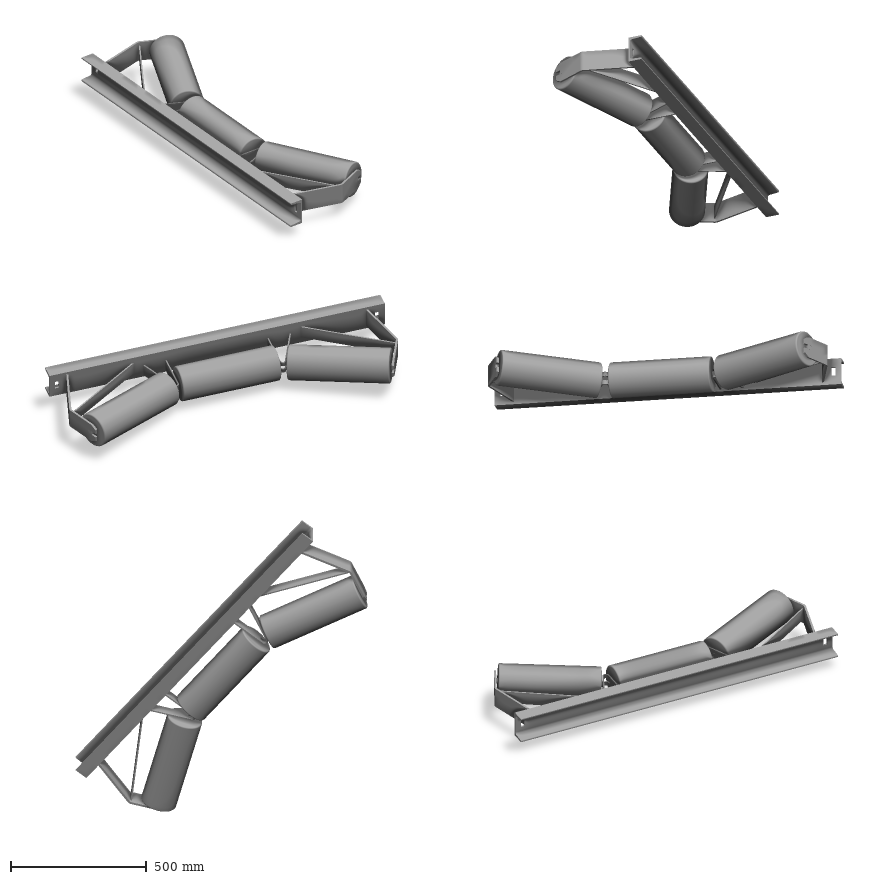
import cadquery as cq
import math

BEAM_LENGTH = 1300.0
BEAM_DEPTH = 52.0
BEAM_HEIGHT = 100.0
WEB_THICKNESS = 6.0
FLANGE_TIP_THICKNESS = 6.0
FLANGE_TAPER = 0.08
FLANGE_ROOT_RADIUS = 8.0
FLANGE_TIP_RADIUS = 4.0
BOLT_SLOT_WIDTH = 15.0
BOLT_SLOT_HEIGHT = 31.0
BOLT_SLOT_INSET = 30.0

ROLLER_DIAMETER = 133.0
ROLLER_LENGTH = 380.0
ROLLER_EDGE_RADIUS = 5.0
CENTER_ROLLER_Y = 115.0
CENTER_ROLLER_Z = -20.0
WING_OUTER_END = cq.Vector(-578.0, 286.0, 0)
WING_ANGLE = math.radians(25)
WING_TILT = math.radians(3)

AXLE_DIAMETER = 20.0
TONGUE_WIDTH = 15.0

OUTER_HEIGHT = 78.0
OUTER_THICKNESS = 8.0
OUTER_BEND = cq.Vector(-633.0, 192.0, 0)
OUTER_FOOT = cq.Vector(-581.0, 0, 0)
OUTER_BEND_RADIUS = 15.0
OUTER_LEG_LENGTH = 139.0
TIP_CHAMFER_Y = 298.0
TIP_CHAMFER_SLOPE = 0.6

INNER_HEIGHT = 47.0
INNER_THICKNESS = 5.0
INNER_LEG_X = -198.0
INNER_FOOT = cq.Vector(-283.0, 0, 0)
INNER_BEND_RADIUS = 10.0

BRACE_HEIGHT = 50.0
BRACE_THICKNESS = 5.0
BRACE_FOOT_X = -328.0
BRACE_TOP_OFFSET = 6.0

WING_AXIS = cq.Vector(
    math.cos(WING_TILT) * math.cos(WING_ANGLE),
    -math.cos(WING_TILT) * math.sin(WING_ANGLE),
    -math.sin(WING_TILT),
)
LEG_UP = cq.Vector(math.sin(WING_ANGLE), math.cos(WING_ANGLE), 0)

LEG_NORMAL = cq.Vector(math.cos(WING_ANGLE), -math.sin(WING_ANGLE), 0)
WING_INNER_END = WING_OUTER_END + WING_AXIS * ROLLER_LENGTH
OUTER_REACH = (WING_OUTER_END - OUTER_BEND).dot(LEG_NORMAL) + OUTER_THICKNESS / 2
INNER_REACH = (INNER_FOOT - WING_INNER_END).dot(LEG_NORMAL) + INNER_THICKNESS / 2
CENTER_REACH = -INNER_LEG_X - ROLLER_LENGTH / 2 + INNER_THICKNESS / 2

WING_PLANE = cq.Plane(WING_OUTER_END, LEG_UP, WING_AXIS)
CENTER_PLANE = cq.Plane(
    (-ROLLER_LENGTH / 2, CENTER_ROLLER_Y, CENTER_ROLLER_Z), (0, 1, 0), (1, 0, 0)
)


def inner_corners(y):
    """Selector for the two inner flange edges at depth y, leaving out the outer flange edges."""
    margin = FLANGE_TIP_THICKNESS / 2
    half_gap = BEAM_HEIGHT / 2 - margin
    return cq.selectors.BoxSelector((-margin, y - margin, -half_gap), (margin, y + margin, half_gap))


def make_beam():
    half_height = BEAM_HEIGHT / 2
    tip_z = half_height - FLANGE_TIP_THICKNESS
    root_z = tip_z - FLANGE_TAPER * (BEAM_DEPTH - WEB_THICKNESS)
    section = [
        (0, -half_height),
        (0, half_height),
        (-BEAM_DEPTH, half_height),
        (-BEAM_DEPTH, tip_z),
        (-WEB_THICKNESS, root_z),
        (-WEB_THICKNESS, -root_z),
        (-BEAM_DEPTH, -tip_z),
        (-BEAM_DEPTH, -half_height),
    ]
    beam = cq.Workplane("YZ").polyline(section).close().extrude(BEAM_LENGTH / 2, both=True)
    beam = beam.edges("|X").edges(inner_corners(-WEB_THICKNESS)).fillet(FLANGE_ROOT_RADIUS)
    beam = beam.edges("|X").edges(inner_corners(-BEAM_DEPTH)).fillet(FLANGE_TIP_RADIUS)
    slot_x = BEAM_LENGTH / 2 - BOLT_SLOT_INSET
    slots = (
        cq.Workplane("XZ")
        .pushPoints([(-slot_x, 0), (slot_x, 0)])
        .rect(BOLT_SLOT_WIDTH, BOLT_SLOT_HEIGHT)
        .extrude(WEB_THICKNESS)
    )
    return beam.cut(slots)


def tongue(plane, start, length, top):
    """Axle tongue along the plane's normal; its local x runs up the support leg."""
    half_width = TONGUE_WIDTH / 2
    bottom = -AXLE_DIAMETER / 2
    return (
        cq.Workplane(plane)
        .workplane(offset=start)
        .moveTo(top, -half_width)
        .lineTo(bottom + half_width, -half_width)
        .threePointArc((bottom, 0), (bottom + half_width, half_width))
        .lineTo(top, half_width)
        .close()
        .extrude(length)
    )


def make_roller(plane, start_reach, end_reach):
    """Roller from the plane along its normal, with an axle tongue at each end."""
    shell = (
        cq.Workplane(plane)
        .circle(ROLLER_DIAMETER / 2)
        .extrude(ROLLER_LENGTH)
        .edges()
        .fillet(ROLLER_EDGE_RADIUS)
    )
    top = AXLE_DIAMETER / 2
    start_tongue = tongue(plane, -start_reach, start_reach, top)
    end_tongue = tongue(plane, ROLLER_LENGTH, end_reach, top)
    return shell.union(start_tongue).union(end_tongue)


def axle_slot(plane, start, length):
    """Cutter for an open slot that seats an axle tongue and runs out past the end of its leg."""
    return tongue(plane, start, length, ROLLER_DIAMETER)


def bent_strip(start, corner, end, radius, height, thickness):
    """Upright strip along start-corner-end, centred on the height of its start point."""
    to_start = (start - corner).normalized()
    to_end = (end - corner).normalized()
    half_angle = to_start.getAngle(to_end) / 2
    tangent = radius / math.tan(half_angle)
    crown = radius / math.sin(half_angle) - radius
    bend_start = corner + to_start * tangent
    bend_middle = corner + (to_start + to_end).normalized() * crown
    bend_end = corner + to_end * tangent
    path = (
        cq.Workplane("XY", origin=(0, 0, start.z))
        .moveTo(start.x, start.y)
        .lineTo(bend_start.x, bend_start.y)
        .threePointArc((bend_middle.x, bend_middle.y), (bend_end.x, bend_end.y))
        .lineTo(end.x, end.y)
    )
    profile_plane = cq.Plane(start, (0, 0, 1), to_start * -1)
    return cq.Workplane(profile_plane).rect(height, thickness).sweep(path)


def below_web():
    """Block under the plane Y = 0, for trimming strip feet flush with the web."""
    block = cq.Workplane("XY").box(BEAM_LENGTH, BEAM_DEPTH, BEAM_HEIGHT)
    return block.translate((0, -BEAM_DEPTH / 2, 0))


def make_outer_bracket():
    tip = OUTER_BEND + LEG_UP * OUTER_LEG_LENGTH
    foot_end = OUTER_FOOT + (OUTER_FOOT - OUTER_BEND).normalized() * OUTER_THICKNESS
    strip = bent_strip(tip, OUTER_BEND, foot_end, OUTER_BEND_RADIUS, OUTER_HEIGHT, OUTER_THICKNESS)
    strip = strip.cut(below_web())
    half_height = OUTER_HEIGHT / 2
    chamfer_end_y = tip.y + OUTER_THICKNESS
    chamfer_end_z = half_height - TIP_CHAMFER_SLOPE * (chamfer_end_y - TIP_CHAMFER_Y)
    corner = (
        cq.Workplane("YZ")
        .polyline([
            (TIP_CHAMFER_Y, half_height),
            (chamfer_end_y, chamfer_end_z),
            (chamfer_end_y, half_height),
        ])
        .close()
        .extrude(-BEAM_LENGTH / 2)
    )
    strip = strip.cut(corner).cut(corner.mirror("XY"))
    return strip.cut(axle_slot(WING_PLANE, -2 * OUTER_REACH, 2 * OUTER_REACH))


def make_inner_bracket():
    center_height = cq.Vector(0, 0, CENTER_ROLLER_Z)
    apex_y = (INNER_LEG_X - INNER_FOOT.x) / math.tan(WING_ANGLE)
    apex = cq.Vector(INNER_LEG_X, apex_y, 0) + center_height
    straight_foot = cq.Vector(INNER_LEG_X, 0, 0) + center_height
    slanted_foot = INNER_FOOT - LEG_UP * INNER_THICKNESS + center_height
    strip = bent_strip(
        straight_foot, apex, slanted_foot, INNER_BEND_RADIUS, INNER_HEIGHT, INNER_THICKNESS
    )
    strip = strip.cut(below_web())
    strip = strip.cut(axle_slot(WING_PLANE, ROLLER_LENGTH, 2 * INNER_REACH))
    return strip.cut(axle_slot(CENTER_PLANE, -2 * CENTER_REACH, 2 * CENTER_REACH))


def make_brace(outer_bracket):
    foot = cq.Vector(BRACE_FOOT_X, 0, 0)
    top = OUTER_BEND + LEG_UP * BRACE_TOP_OFFSET
    direction = (top - foot).normalized()
    half_width = cq.Vector(direction.y, -direction.x, 0) * (BRACE_THICKNESS / 2)
    half_foot = BRACE_THICKNESS / 2 / direction.y
    brace = (
        cq.Workplane("XY")
        .polyline([
            (foot.x - half_foot, 0),
            (foot.x + half_foot, 0),
            (top + half_width).toTuple()[:2],
            (top - half_width).toTuple()[:2],
        ])
        .close()
        .extrude(BRACE_HEIGHT / 2, both=True)
    )
    return brace.cut(outer_bracket)


beam = make_beam()
center_roller = make_roller(CENTER_PLANE, CENTER_REACH, CENTER_REACH)
wing_roller = make_roller(WING_PLANE, OUTER_REACH, INNER_REACH)
outer_bracket = make_outer_bracket()
inner_bracket = make_inner_bracket()
brace = make_brace(outer_bracket)

bodies = [beam.val(), center_roller.val()]
for side_body in (wing_roller, outer_bracket, inner_bracket, brace):
    bodies.append(side_body.val())
    bodies.append(side_body.mirror("YZ").val())

result = cq.Compound.makeCompound(bodies)